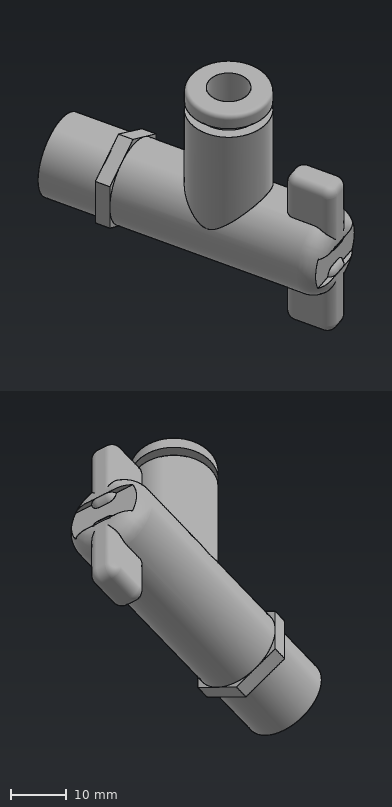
import cadquery as cq
import math

total_length = 57.75
body_diameter = 17.0
dome_radius = 4.0

spigot_diameter = 16.45
spigot_length = 12.0
hex_across_flats = body_diameter
hex_across_corners = hex_across_flats / math.cos(math.pi / 6)
hex_thickness = 3.0

branch_x = 34.75
branch_top = 30.25
branch_diameter = 16.0
collar_height = 3.0
collar_edge_radius = 1.0
groove_width = 2.0
groove_diameter = 12.0
bore_diameter = 8.0
bore_depth = 14.45

wing_length = 10.0
wing_thickness = 6.0
wing_edge_radius = 2.0
wing_tip = 17.0
wing_root = 1.5

slot_depth = 1.0
slot_width = 6.7


def rod_x(diameter, start, length):
    """Solid cylinder along X."""
    return cq.Workplane("YZ").workplane(offset=start).circle(diameter / 2).extrude(length)


def rod_z(diameter, bottom, top):
    """Solid cylinder along Z on the branch axis."""
    return (
        cq.Workplane("XY", origin=(branch_x, 0, bottom))
        .circle(diameter / 2)
        .extrude(top - bottom)
    )


def make_body():
    """Spigot, hexagon and domed barrel with a slot across its end."""
    spigot = rod_x(spigot_diameter, 0, spigot_length)
    hexagon = (
        cq.Workplane("YZ", origin=(spigot_length, 0, 0))
        .transformed(rotate=(0, 0, 90))
        .polygon(6, hex_across_corners)
        .extrude(hex_thickness)
    )
    barrel = rod_x(body_diameter, spigot_length, total_length - spigot_length)
    barrel = barrel.faces(">X").edges().fillet(dome_radius)
    slot = cq.Workplane("XY").box(2 * slot_depth, body_diameter, slot_width)
    barrel = barrel.cut(slot.translate((total_length, 0, 0)))
    return barrel.union(hexagon).union(spigot)


def make_branch():
    """Branch tube rising from the body axis to its rounded collar."""
    collar_bottom = branch_top - collar_height
    shoulder = collar_bottom - groove_width
    tube = rod_z(branch_diameter, 0, shoulder)
    neck = rod_z(groove_diameter, shoulder, collar_bottom)
    collar = rod_z(branch_diameter, collar_bottom, branch_top)
    collar = collar.faces(">Z").edges().fillet(collar_edge_radius)
    return tube.union(neck).union(collar)


def make_wing(side):
    """Handle wing rounded on every edge; side is +1 above the axis, -1 below."""
    wing = cq.Workplane("XY").box(wing_length, wing_thickness, wing_tip - wing_root)
    wing = wing.edges().fillet(wing_edge_radius)
    middle_z = side * (wing_tip + wing_root) / 2
    return wing.translate((total_length - wing_length / 2, 0, middle_z))


result = make_body().union(make_branch())
for side in (1, -1):
    result = result.union(make_wing(side))
result = result.cut(rod_z(bore_diameter, branch_top - bore_depth, branch_top))